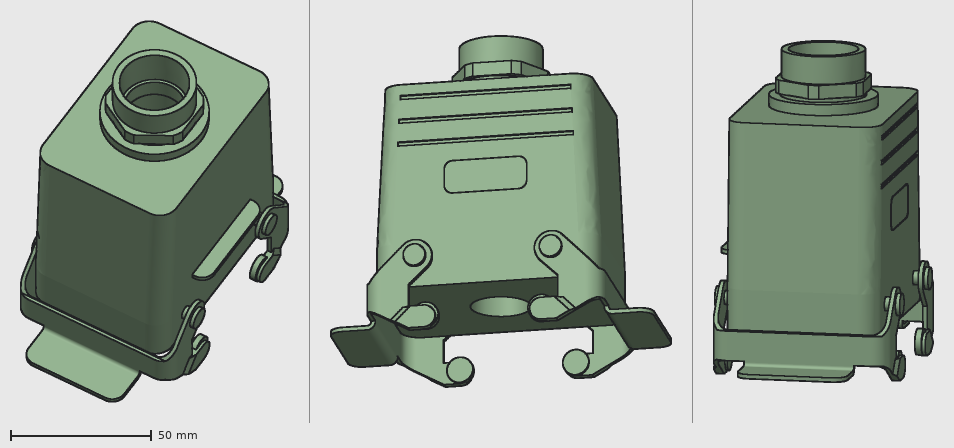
import cadquery as cq
import math


housing_width = 55.7
base_length = 81.7
top_length = 75.6
skirt_height = 16.3
housing_height = 76.5
corner_radius = 7.0
bore_diameter = 21.8

groove_height = 1.5
groove_depth = 0.9
groove_bottoms = (53.4, 62.0, 70.9)
label_length = 30.0
label_height = 12.2
label_corner = 3.0
label_depth = 0.2
label_z = 40.5

flange_diameter = 39.0
flange_height = 4.0
neck_diameter = 31.0
neck_height = 1.5
hex_across_flats = 32.0
hex_corner_diameter = 35.0
hex_height = 5.0
tube_diameter = 30.0
tube_height = 10.0
mouth_diameter = 25.0
seat_diameter = 24.24
taper_depth = 12.5
seat_depth = 13.5

sheet = 1.6
strap_half_width = 32.2
strap_half_length = 43.3
strap_corner_radius = 6.0
band_top = 1.6
band_bottom = -9.2
eye_y = 24.8
eye_z = 10.1
eye_radius = 6.1
arm_inner_y = 27.2
arm_shoulder_z = -0.6
foot_top = -9.1
foot_radius = 4.1
foot_tip_y = 21.3
foot_heel_y = 27.0
foot_bottom = foot_top - 2 * foot_radius
ramp_start_y = 29.2
ramp_run = 2.1
ramp_rise = 1.25
disc_diameter = 9.5
disc_y = 21.1
disc_z = -12.35
disc_thickness = 2.4
pin_diameter = 5.0
pin_head_diameter = 8.0
pin_head_height = 1.5
handle_width = 40.0
handle_reach = 58.8
handle_corner = 5.0
handle_bend_radius = 1.3
handle_neck = 0.3

tab_length = 40.0
tab_reach = 6.15
tab_corner = 5.0
tab_bottom = 24.8


def cross_section(length, height):
    """Housing cross-section of the given Y length at the given height."""
    outline = cq.Sketch().rect(housing_width, length).vertices().fillet(corner_radius)
    return outline.moved(cq.Location(cq.Vector(0, 0, height)))


def face_length(height):
    """Length of the flat side face, between the corner rounds, at a height."""
    share = (height - skirt_height) / (housing_height - skirt_height)
    return base_length + (top_length - base_length) * share - 2 * corner_radius


def face_groove(bottom):
    """Shallow horizontal groove across the flat part of the -X face."""
    top = bottom + groove_height
    half_bottom = face_length(bottom) / 2
    half_top = face_length(top) / 2
    corners = [(-half_bottom, bottom), (half_bottom, bottom), (half_top, top), (-half_top, top)]
    return (
        cq.Workplane("YZ", origin=(-housing_width / 2, 0, 0))
        .polyline(corners)
        .close()
        .extrude(groove_depth)
    )


def label_recess():
    """Rounded shallow recess for a label on the -X face."""
    return (
        cq.Workplane("YZ", origin=(-housing_width / 2, 0, label_z))
        .rect(label_length, label_height)
        .extrude(label_depth)
        .edges("|X")
        .fillet(label_corner)
    )


def make_housing():
    skirt = cq.Workplane().placeSketch(cross_section(base_length, 0)).extrude(skirt_height)
    hood = (
        cq.Workplane()
        .placeSketch(
            cross_section(base_length, skirt_height),
            cross_section(top_length, housing_height),
        )
        .loft(ruled=True)
    )
    housing = skirt.union(hood)
    housing = housing.cut(cq.Workplane().circle(bore_diameter / 2).extrude(housing_height))
    for bottom in groove_bottoms:
        housing = housing.cut(face_groove(bottom))
    return housing.cut(label_recess())


def make_gland():
    neck_bottom = housing_height + flange_height
    hex_bottom = neck_bottom + neck_height
    tube_bottom = hex_bottom + hex_height
    tube_top = tube_bottom + tube_height

    def disc(diameter, bottom, height):
        return cq.Workplane(origin=(0, 0, bottom)).circle(diameter / 2).extrude(height)

    hexagon = (
        cq.Workplane(origin=(0, 0, hex_bottom))
        .polygon(6, hex_across_flats, circumscribed=True)
        .extrude(hex_height)
        .intersect(disc(hex_corner_diameter, hex_bottom, hex_height))
    )
    bore = (
        cq.Workplane("XZ")
        .moveTo(0, housing_height)
        .lineTo(bore_diameter / 2, housing_height)
        .lineTo(bore_diameter / 2, tube_top - seat_depth)
        .lineTo(seat_diameter / 2, tube_top - seat_depth)
        .lineTo(seat_diameter / 2, tube_top - taper_depth)
        .lineTo(mouth_diameter / 2, tube_top)
        .lineTo(0, tube_top)
        .close()
        .revolve(360, (0, 0, 0), (0, 1, 0))
    )
    return (
        disc(flange_diameter, housing_height, flange_height)
        .union(disc(neck_diameter, neck_bottom, neck_height))
        .union(hexagon)
        .union(disc(tube_diameter, tube_bottom, tube_height))
        .cut(bore)
    )


def strap_sheet():
    """Tall U-shaped sheet round the +Y end of the housing."""
    bottom = foot_bottom
    height = eye_z + eye_radius - bottom

    def block(inset, radius):
        return (
            cq.Workplane(origin=(0, 0, bottom))
            .rect(2 * (strap_half_width - inset), 2 * (strap_half_length - inset))
            .extrude(height)
            .edges("|Z")
            .fillet(radius)
        )

    return block(0, strap_corner_radius).cut(block(sheet, strap_corner_radius - sheet))


def strap_outline():
    """Side shape of the lever: eye, diagonal arm, end band and hooked foot."""
    diagonal = eye_radius / math.sqrt(2)
    slope_top_y = eye_y + eye_z + 2 * diagonal - band_top
    slope_bottom_y = strap_half_length - sheet
    foot_mid_z = foot_top - foot_radius
    return (
        cq.Workplane("YZ")
        .moveTo(strap_half_length, band_top)
        .lineTo(slope_top_y, band_top)
        .lineTo(eye_y + diagonal, eye_z + diagonal)
        .threePointArc((eye_y - diagonal, eye_z + diagonal), (eye_y - diagonal, eye_z - diagonal))
        .lineTo(arm_inner_y, arm_shoulder_z)
        .lineTo(arm_inner_y, foot_top)
        .lineTo(foot_tip_y, foot_top)
        .threePointArc((foot_tip_y - foot_radius, foot_mid_z), (foot_tip_y, foot_bottom))
        .lineTo(foot_heel_y, foot_bottom)
        .lineTo(slope_bottom_y, band_bottom)
        .lineTo(strap_half_length, band_bottom)
        .close()
        .extrude(strap_half_width, both=True)
    )


def foot_pad():
    """Raised outer layer of the +X foot, starting with a ramp at 45 degrees across the sheet."""
    heel_slope = (band_bottom - foot_bottom) / (strap_half_length - sheet - foot_heel_y)
    drop = (foot_top - foot_bottom - heel_slope * (ramp_start_y - foot_heel_y)) / (1 + heel_slope)
    pad = (
        cq.Workplane("YZ", origin=(strap_half_width, 0, 0))
        .moveTo(ramp_start_y, foot_top)
        .lineTo(foot_tip_y, foot_top)
        .threePointArc((foot_tip_y - foot_radius, foot_top - foot_radius), (foot_tip_y, foot_bottom))
        .lineTo(foot_heel_y, foot_bottom)
        .lineTo(ramp_start_y + drop, foot_top - drop)
        .close()
        .extrude(ramp_rise)
    )
    ramp_plane = cq.Plane(
        origin=(strap_half_width, ramp_start_y, foot_top), xDir=(1, 0, 0), normal=(0, 1, -1)
    )
    span = 2 * strap_half_length
    ramp = (
        cq.Workplane(ramp_plane)
        .polyline([(0, 0), (ramp_rise, ramp_run), (ramp_rise, span), (0, span)])
        .close()
        .extrude(span, both=True)
    )
    return pad.intersect(ramp)


def foot_disc():
    """Round hook disc on the inner side of the +X foot."""
    return (
        cq.Workplane("YZ", origin=(strap_half_width - disc_thickness, disc_y, disc_z))
        .circle(disc_diameter / 2)
        .extrude(disc_thickness)
    )


def pivot_pin():
    """Headed pin from the +X housing face through the lever eye."""
    face_x = housing_width / 2
    shank = (
        cq.Workplane("YZ", origin=(face_x, eye_y, eye_z))
        .circle(pin_diameter / 2)
        .extrude(strap_half_width - face_x)
    )
    head = (
        cq.Workplane("YZ", origin=(strap_half_width, eye_y, eye_z))
        .circle(pin_head_diameter / 2)
        .extrude(pin_head_height)
    )
    return shank.union(head)


def lever_handle():
    """Finger tab bent outward from the lower edge of the end band."""
    outer_radius = handle_bend_radius + sheet
    inner_y = strap_half_length - sheet
    bend_y = strap_half_length + handle_bend_radius
    bend_z = band_bottom - handle_neck
    diagonal = 1 / math.sqrt(2)
    return (
        cq.Workplane("YZ")
        .moveTo(inner_y, band_bottom)
        .lineTo(inner_y, bend_z)
        .threePointArc(
            (bend_y - outer_radius * diagonal, bend_z - outer_radius * diagonal),
            (bend_y, bend_z - outer_radius),
        )
        .lineTo(handle_reach, bend_z - outer_radius)
        .lineTo(handle_reach, bend_z - handle_bend_radius)
        .lineTo(bend_y, bend_z - handle_bend_radius)
        .threePointArc(
            (bend_y - handle_bend_radius * diagonal, bend_z - handle_bend_radius * diagonal),
            (strap_half_length, bend_z),
        )
        .lineTo(strap_half_length, band_bottom)
        .close()
        .extrude(handle_width / 2, both=True)
        .edges("|Z and >Y")
        .fillet(handle_corner)
    )


def make_lever(end):
    """Locking lever at the +Y end (end = 1) or the -Y end (end = -1)."""
    lever = strap_sheet().intersect(strap_outline()).union(lever_handle())
    for part in (foot_pad(), foot_disc(), pivot_pin()):
        lever = lever.union(part).union(part.mirror("YZ"))
    return lever if end > 0 else lever.mirror("XZ")


def make_side_tab():
    """Flat rounded tab standing out from the +X face of the housing."""
    return (
        cq.Workplane(origin=(housing_width / 2 + tab_reach / 2, 0, tab_bottom))
        .rect(tab_reach, tab_length)
        .extrude(sheet)
        .edges("|Z and >X")
        .fillet(tab_corner)
    )


housing = make_housing()
gland = make_gland()
levers = [make_lever(end) for end in (1, -1)]
side_tab = make_side_tab()

result = cq.Compound.makeCompound(
    [
        housing.solids().val(),
        gland.solids().val(),
        *[lever.solids().val() for lever in levers],
        side_tab.solids().val(),
    ]
)